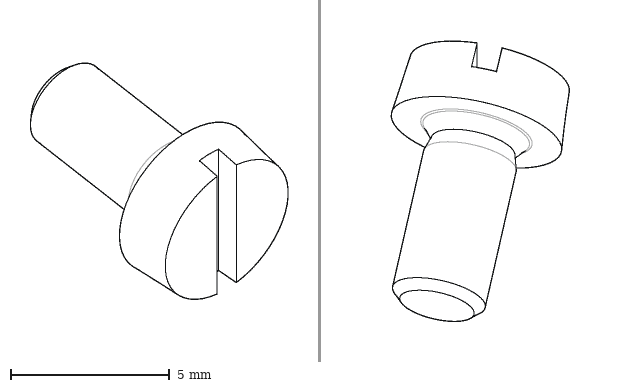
import cadquery as cq
import math

shank_radius = 1.5
tip_chamfer = 0.3
shank_end = 5.0

waist_x = 5.5
waist_radius = 1.35
flare_radius = 1.75
root_fillet = 0.1

head_start = 6.0
head_height = 2.0
head_radius = 2.75
head_taper_angle = 5.0
slot_width = 0.8
slot_depth = 0.85

total_length = head_start + head_height
head_end_radius = head_radius - head_height * math.tan(math.radians(head_taper_angle))


def screw_body():
    """Revolve the half profile (axial position, radius) about the X axis."""
    profile = [
        (0, 0),
        (0, shank_radius - tip_chamfer),
        (tip_chamfer, shank_radius),
        (shank_end, shank_radius),
        (waist_x, waist_radius),
        (head_start, flare_radius),
        (head_start, head_radius),
        (total_length, head_end_radius),
        (total_length, 0),
    ]
    return cq.Workplane("XZ").polyline(profile).close().revolve(360, (0, 0, 0), (1, 0, 0))


def round_head_root(body):
    """Fillet the circular corner where the neck flare meets the underside of the head."""
    underside = body.faces("%PLANE").faces("<X[1]")
    root_corner = underside.edges(cq.selectors.RadiusNthSelector(0))
    return root_corner.fillet(root_fillet)


def driver_slot():
    """Cutter for the straight slot running along Z across the free end of the head."""
    slot_length = 2 * head_radius
    return (
        cq.Workplane("XY")
        .box(slot_depth, slot_width, slot_length)
        .translate((total_length - slot_depth / 2, 0, 0))
    )


result = round_head_root(screw_body()).cut(driver_slot())